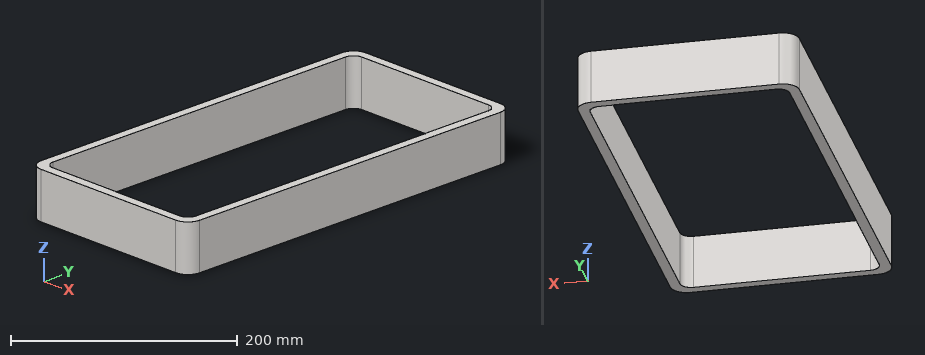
import cadquery as cq

width = 200.0
length = 400.0
height = 50.0

wall = 10.0
outer_corner_radius = 15.0
inner_corner_radius = 10.0


def rounded_block(size_x, size_y, corner_radius):
    """Full-height block with its vertical edges rounded."""
    block = cq.Workplane("XY").box(size_x, size_y, height)
    return block.edges("|Z").fillet(corner_radius)


outer_body = rounded_block(width, length, outer_corner_radius)
opening = rounded_block(width - 2 * wall, length - 2 * wall, inner_corner_radius)

result = outer_body.cut(opening)